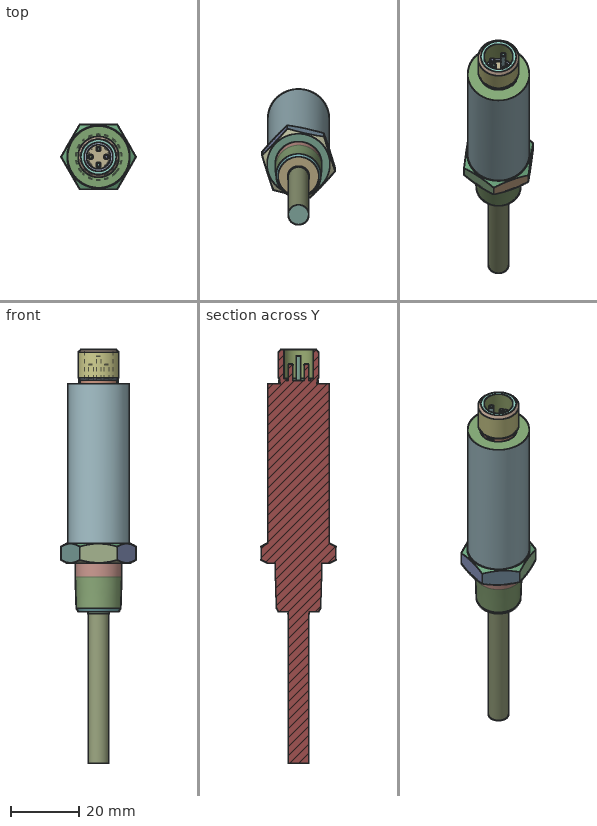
import cadquery as cq
import math

stem_root_z = 44.3
taper_end_z = 45.4
taper_start_z = 54.6
hex_bottom_z = 58.5
hex_top_z = 64.4
body_top_z = 111.0
neck_top_z = 112.0
thread_bottom_z = 112.8
total_length = 121.0

stem_diameter = 6.0
stem_collar_diameter = 6.3
stem_collar_length = 0.6
mount_diameter = 13.7
body_diameter = 18.0
neck_diameter = 10.9
connector_diameter = 12.0
connector_chamfer = 0.8
taper_ratio = 1 / 16
mount_chamfer = 0.6

hex_sides = 6
hex_across_flats = 19.0
hex_chamfer_diameter = 18.4
hex_chamfer_angle = 30

socket_diameter = 8.5
socket_depth = 8.5
recess_diameter = 7.0
recess_depth = 0.6
pin_diameter = 1.5
pin_tip_chamfer = 0.2
pin_circle_radius = 2.3
x_pin_height = 4.8
y_pin_height = 7.3
pins_per_pair = 2

key_width = 1.9
key_span = 11.5
key_gap = 0.4


def make_turned_body():
    """Revolve the stem, tapered mount, housing and connector in one profile."""
    stem_radius = stem_diameter / 2
    collar_radius = stem_collar_diameter / 2
    collar_z = stem_root_z - stem_collar_length
    mount_radius = mount_diameter / 2
    taper_end_radius = mount_radius - (taper_start_z - taper_end_z) * taper_ratio / 2
    body_radius = body_diameter / 2
    neck_radius = neck_diameter / 2
    connector_radius = connector_diameter / 2
    profile = [
        (0, 0),
        (stem_radius, 0),
        (stem_radius, collar_z),
        (collar_radius, collar_z),
        (collar_radius, stem_root_z),
        (taper_end_radius - mount_chamfer, stem_root_z),
        (taper_end_radius, taper_end_z),
        (mount_radius, taper_start_z),
        (mount_radius, hex_bottom_z),
        (body_radius, hex_bottom_z),
        (body_radius, body_top_z),
        (neck_radius, body_top_z),
        (neck_radius, neck_top_z),
        (connector_radius, thread_bottom_z),
        (connector_radius, total_length - connector_chamfer),
        (connector_radius - connector_chamfer, total_length),
        (0, total_length),
    ]
    return cq.Workplane("XZ").polyline(profile).close().revolve(360, (0, 0), (0, 1))


def make_hexagon():
    """Hexagon with corners on the X axis, both faces turned to a conical chamfer."""
    corner_radius = hex_across_flats / 2 / math.cos(math.pi / hex_sides)
    face_radius = hex_chamfer_diameter / 2
    corner_drop = (corner_radius - face_radius) * math.tan(math.radians(hex_chamfer_angle))
    prism = (
        cq.Workplane("XY")
        .workplane(offset=hex_bottom_z)
        .polygon(hex_sides, 2 * corner_radius)
        .extrude(hex_top_z - hex_bottom_z)
    )
    envelope = (
        cq.Workplane("XZ")
        .polyline([
            (0, hex_bottom_z),
            (face_radius, hex_bottom_z),
            (corner_radius, hex_bottom_z + corner_drop),
            (corner_radius, hex_top_z - corner_drop),
            (face_radius, hex_top_z),
            (0, hex_top_z),
        ])
        .close()
        .revolve(360, (0, 0), (0, 1))
    )
    return prism.intersect(envelope)


def make_disc(diameter, bottom_z, height):
    """Plain cylinder on the part axis."""
    return cq.Workplane("XY").workplane(offset=bottom_z).circle(diameter / 2).extrude(height)


def make_pin_pair(floor_z, start_angle, height):
    """Two opposite contact pins standing on the socket floor."""
    return (
        cq.Workplane("XY")
        .workplane(offset=floor_z)
        .polarArray(pin_circle_radius, start_angle, 360, pins_per_pair)
        .circle(pin_diameter / 2)
        .extrude(height)
        .faces(">Z")
        .chamfer(pin_tip_chamfer)
    )


def make_neck_keys():
    """One bar through the neck, showing as a key on its -X and +X sides."""
    return (
        cq.Workplane("XY")
        .workplane(offset=body_top_z + key_gap)
        .rect(key_span, key_width)
        .extrude(neck_top_z - body_top_z - key_gap)
    )


socket_floor_z = total_length - socket_depth
recess_floor_z = socket_floor_z - recess_depth

result = make_turned_body().union(make_hexagon()).union(make_neck_keys())
result = result.cut(make_disc(socket_diameter, socket_floor_z, socket_depth))
result = result.cut(make_disc(recess_diameter, recess_floor_z, recess_depth))
result = result.union(make_pin_pair(recess_floor_z, 0, x_pin_height))
result = result.union(make_pin_pair(recess_floor_z, 90, y_pin_height))